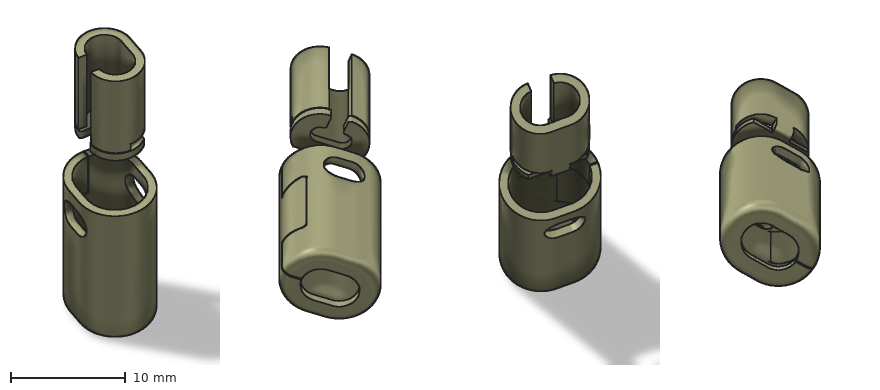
import cadquery as cq

HOUSING_LENGTH_X = 9.0
HOUSING_WIDTH_Y = 7.3
HOUSING_HEIGHT = 15.05
HOUSING_WALL = 0.8
HOUSING_FLOOR = 0.8
HOUSING_BOTTOM_FILLET = 1.0
FLOOR_HOLE_WIDTH = 3.58

WINDOW_LENGTH = 3.82
WINDOW_HEIGHT = 2.67
WINDOW_CENTER_Z = 12.35

SEAM_GAP = 0.12
TONGUE_REACH = 2.73
TONGUE_ROOT_HALF_HEIGHT = 3.18
TONGUE_TIP_HALF_HEIGHT = 3.6
TONGUE_CENTER_Z = 7.55
TONGUE_CORNER_RADIUS = 0.3

CLIP_LENGTH_X = 7.03
CLIP_WIDTH_Y = 5.15
CLIP_WALL = 0.85
CLIP_BOTTOM_Z = 20.8
CLIP_TOP_Z = 30.3
CLIP_SLOT_WIDTH = 2.12

PLATE_THICKNESS = 0.82
PLATE_GAP = 0.1
PLATE_BACK_Y = 1.82
STRAP_WIDTH = 1.73
STRAP_HEIGHT = 1.65
STRAP_BEND_RADIUS = 0.73
PLATE_HOLE_LENGTH = 3.75
PLATE_HOLE_WIDTH = 1.65
PLATE_HOLE_Y = -0.25
PLATE_SLOT_WIDTH = 1.58
PLATE_SLOT_CORNER_RADIUS = 0.25
SELECTION_MARGIN = 0.03


def oblong(length, width, bottom_z, height, center_y=0.0):
    """Upright prism with a straight-sided, round-ended outline."""
    return (
        cq.Workplane("XY", origin=(0, center_y, bottom_z))
        .slot2D(length, width)
        .extrude(height)
    )


def box_between(x_range, y_range, z_range):
    """Box given by its lower and upper limit on each axis."""
    lows, highs = zip(x_range, y_range, z_range)
    sizes = [high - low for low, high in zip(lows, highs)]
    return cq.Workplane("XY", origin=lows).box(*sizes, centered=False)


def dovetail(clearance):
    """Dovetail prism reaching from the seam toward -Y, grown on all sides by the clearance."""
    root_y = clearance
    tip_y = -TONGUE_REACH - clearance
    root_half = TONGUE_ROOT_HALF_HEIGHT + clearance
    tip_half = TONGUE_TIP_HALF_HEIGHT + clearance
    outline = [(root_y, -root_half), (tip_y, -tip_half), (tip_y, tip_half), (root_y, root_half)]
    return (
        cq.Workplane("YZ", origin=(-HOUSING_LENGTH_X / 2, 0, TONGUE_CENTER_Z))
        .polyline(outline)
        .close()
        .extrude(HOUSING_LENGTH_X / 2)
        .edges("|X and <Y")
        .fillet(TONGUE_CORNER_RADIUS + clearance)
    )


def seam_cut():
    """Straight seam above and below the tongue plus the narrow gap around the tongue."""
    straight = box_between(
        (-HOUSING_LENGTH_X / 2, 0), (-SEAM_GAP / 2, SEAM_GAP / 2), (0, HOUSING_HEIGHT)
    )
    tongue_root = box_between(
        (-HOUSING_LENGTH_X / 2, 0),
        (-SEAM_GAP, SEAM_GAP),
        (TONGUE_CENTER_Z - TONGUE_ROOT_HALF_HEIGHT, TONGUE_CENTER_Z + TONGUE_ROOT_HALF_HEIGHT),
    )
    around_tongue = dovetail(SEAM_GAP / 2).cut(dovetail(0))
    return straight.union(around_tongue).cut(tongue_root)


def make_housing():
    straight_length = HOUSING_LENGTH_X - HOUSING_WIDTH_Y
    body = oblong(HOUSING_LENGTH_X, HOUSING_WIDTH_Y, 0, HOUSING_HEIGHT)
    body = body.faces("<Z").edges().fillet(HOUSING_BOTTOM_FILLET)
    cavity = oblong(
        HOUSING_LENGTH_X - 2 * HOUSING_WALL,
        HOUSING_WIDTH_Y - 2 * HOUSING_WALL,
        HOUSING_FLOOR,
        HOUSING_HEIGHT - HOUSING_FLOOR,
    )
    floor_hole = oblong(straight_length + FLOOR_HOLE_WIDTH, FLOOR_HOLE_WIDTH, 0, HOUSING_FLOOR)
    window = (
        cq.Workplane("XZ", origin=(0, 0, WINDOW_CENTER_Z))
        .slot2D(WINDOW_LENGTH, WINDOW_HEIGHT)
        .extrude(HOUSING_WIDTH_Y / 2, both=True)
    )
    return body.cut(cavity).cut(floor_hole).cut(window).cut(seam_cut())


def clip_sleeve():
    """Sleeve wall, open along -Y and cut shorter on its +Y half."""
    bottom_z = CLIP_BOTTOM_Z + PLATE_THICKNESS + PLATE_GAP
    height = CLIP_TOP_Z - bottom_z
    outer = oblong(CLIP_LENGTH_X, CLIP_WIDTH_Y, bottom_z, height)
    bore = oblong(CLIP_LENGTH_X - 2 * CLIP_WALL, CLIP_WIDTH_Y - 2 * CLIP_WALL, bottom_z, height)
    slot = box_between(
        (-CLIP_SLOT_WIDTH / 2, CLIP_SLOT_WIDTH / 2), (-CLIP_WIDTH_Y / 2, 0), (bottom_z, CLIP_TOP_Z)
    )
    back_relief = box_between(
        (-CLIP_LENGTH_X / 2, CLIP_LENGTH_X / 2),
        (0, CLIP_WIDTH_Y / 2),
        (bottom_z, CLIP_BOTTOM_Z + STRAP_HEIGHT),
    )
    return outer.cut(bore).cut(slot).cut(back_relief)


def clip_plate():
    """End plate with a keyhole opening toward -Y."""
    blank = oblong(CLIP_LENGTH_X, CLIP_WIDTH_Y, CLIP_BOTTOM_Z, PLATE_THICKNESS)
    beyond_plate = box_between(
        (-CLIP_LENGTH_X / 2, CLIP_LENGTH_X / 2),
        (PLATE_BACK_Y, CLIP_WIDTH_Y / 2),
        (CLIP_BOTTOM_Z, CLIP_BOTTOM_Z + PLATE_THICKNESS),
    )
    hole = oblong(
        PLATE_HOLE_LENGTH, PLATE_HOLE_WIDTH, CLIP_BOTTOM_Z, PLATE_THICKNESS, PLATE_HOLE_Y
    )
    slot = box_between(
        (-PLATE_SLOT_WIDTH / 2, PLATE_SLOT_WIDTH / 2),
        (-CLIP_WIDTH_Y / 2, PLATE_HOLE_Y),
        (CLIP_BOTTOM_Z, CLIP_BOTTOM_Z + PLATE_THICKNESS),
    )
    plate = blank.cut(beyond_plate).cut(hole).cut(slot)
    corner_reach = PLATE_SLOT_WIDTH / 2 + SELECTION_MARGIN
    slot_corners = cq.selectors.BoxSelector(
        (-corner_reach, -CLIP_WIDTH_Y, CLIP_BOTTOM_Z),
        (corner_reach, PLATE_HOLE_Y, CLIP_TOP_Z),
    )
    return plate.edges("|Z").edges(slot_corners).fillet(PLATE_SLOT_CORNER_RADIUS)


def clip_strap():
    """Strap bent up from the plate to the +Y wall of the sleeve."""
    strap = box_between(
        (-STRAP_WIDTH / 2, STRAP_WIDTH / 2),
        (CLIP_WIDTH_Y / 2 - CLIP_WALL, CLIP_WIDTH_Y / 2),
        (CLIP_BOTTOM_Z, CLIP_BOTTOM_Z + STRAP_HEIGHT),
    )
    return strap.edges("|X and >Y and <Z").fillet(STRAP_BEND_RADIUS)


def make_clip():
    return clip_sleeve().union(clip_plate()).union(clip_strap())


housing = make_housing()
clip = make_clip()
result = cq.Compound.makeCompound([housing.val(), clip.val()])